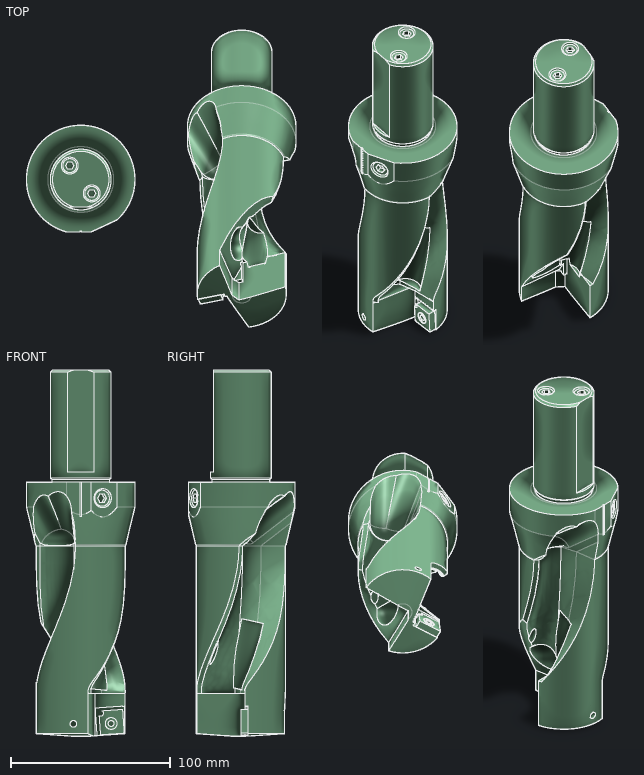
import cadquery as cq
import math


total_length = 229.3
shank_radius = 19.0
shank_chamfer = 1.4
shank_bottom = 161.7
neck_radius = 18.1
face_groove_radius = 20.6
face_groove_depth = 0.5
flange_diameter = 68.0
flange_radius = flange_diameter / 2
flange_top = 159.1
cone_top = 143.5
cone_bottom = 120.2
cone_bottom_radius = 28.5
body_radius = 28.0
body_top = 119.2
tip_flat_radius = 5.7
tip_rise = 1.5

shank_flat_distance = 17.2
shank_flat_bottom = 165.5
flange_across_flat = 67.0
flange_flat_distance = flange_across_flat - flange_radius
plug_flat_distance = 32.5
plug_flat_angle = 25
mark_width = 1.0
mark_depth = 0.7
mark_bottom = 137.5

flute_rim_wall = 3.5
flute_bend_wall = 2.8
flute_bend_y = -12.5
flute_root_wall = 4.1
flute_root_y = -1.1
flute_floor_end = 25.5
flute_floor_depth = 5.5
flute_reach = 32
flute_lip_slope = 0.9
flute_lip_rise = flute_lip_slope * (flute_reach - flute_floor_end)
flute_twist = -78
twist_length = 88.3
twist_power = 1.9
flute_sections = 14
inner_flute_start = 33.7
outer_flute_start = 26.8
runout_rise = 41.3
runout_directions = [(-0.1, -1.3, 1), (-0.6, -1.1, 1)]
elbow_radius = 11.0
elbow_lift = 1.8

notch_land = 2.5
outer_wall_rim = 4.0
outer_wall_root = 9.0
inner_wall = 5.5
inner_wall_corner = 2.8
inner_wall_top = 16
ramp_middle = (-11.0, 48.2)
ramp_end = (-28.0, 75.7)

ball_radius = 10.8
ball_center = (-4.8, 13.8, 32.5)

scoop_radius = 8.0
scoop_lower = (-9.2, 3.0, 29.8)
scoop_upper = (-10.0, -6.2, 72.2)

channel_radius = 2.3
channel_end = (-11.0, 17.5, 39)
outlet_radius = 2.0
outlet_x = -4.5
outlet_z = 7.8
outlet_depth = 9.2

insert_size = 15.0
insert_corner_x = 12.4
insert_corner_z = 1.0
insert_tilt = 4
insert_face = 0
insert_thickness = 4.5
seat_clearance = 2.0
relief_radius = 1.8
relief_x = 12.4
relief_z = 14.5
screw_x = 19.0
screw_z = 8.0
screw_radius = 3.7
screw_length = 9.2
screw_recess = 0.5
screw_socket_radius = 1.8
screw_socket_depth = 2.3

shank_plug_x = 6.9
shank_plug_y = 8.7
shank_plug_radius = 4.4
flange_plug_radius = 5.0
flange_plug_z = 149
plug_length = 9.2
plug_rim = 1.0
plug_rim_angle = 45
plug_socket_depth = 3.5
plug_socket_ratio = 0.6


def cylinder_between(start, end, radius):
    """Round bar from one point to another."""
    axis = cq.Vector(*end) - cq.Vector(*start)
    return cq.Workplane(cq.Solid.makeCylinder(radius, axis.Length, cq.Vector(*start), axis))


def half_turn(shape):
    return shape.rotate((0, 0, 0), (0, 0, 1), 180)


def turned_blank():
    outline = (
        cq.Workplane("XZ")
        .polyline([
            (0, 0),
            (tip_flat_radius, 0),
            (body_radius, tip_rise),
            (body_radius, body_top),
            (cone_bottom_radius, cone_bottom),
            (flange_radius, cone_top),
            (flange_radius, flange_top),
            (face_groove_radius, flange_top),
            (neck_radius + face_groove_depth, flange_top - face_groove_depth),
            (neck_radius, flange_top - face_groove_depth),
            (neck_radius, shank_bottom - (shank_radius - neck_radius)),
            (shank_radius, shank_bottom),
            (shank_radius, total_length - shank_chamfer),
            (shank_radius - shank_chamfer, total_length),
            (0, total_length),
        ])
        .close()
    )
    return outline.revolve(360, (0, 0, 0), (0, 1, 0))


def flat_cutter(distance, bottom, top, angle=0):
    """Block that leaves a flat at the given distance from the axis, turned from -Y toward +X."""
    size = 2 * flange_radius
    block = cq.Workplane("XY").box(size, size, top - bottom, centered=(True, False, False))
    return block.translate((0, -distance - size, bottom)).rotate((0, 0, 0), (0, 0, 1), angle)


def mark_cutter():
    return (
        cq.Workplane("XY")
        .workplane(offset=mark_bottom)
        .center(0, -flange_flat_distance)
        .rect(mark_width, 2 * mark_depth)
        .extrude(flange_top - mark_bottom)
    )


def flute_section(z):
    """Closed flute outline at height z, turned by the twist of the flute there."""
    floor_middle = (-(flute_root_wall + flute_floor_end) / 2, flute_root_y + flute_floor_depth)
    turn = flute_twist * min(1, (body_top - z) / twist_length) ** twist_power
    outline = (
        cq.Workplane("XY")
        .moveTo(-flute_rim_wall, -flute_reach)
        .lineTo(-flute_bend_wall, flute_bend_y)
        .lineTo(-flute_root_wall, flute_root_y)
        .threePointArc(floor_middle, (-flute_floor_end, flute_root_y))
        .lineTo(-flute_reach, flute_root_y + flute_lip_rise)
        .lineTo(-flute_reach, -flute_reach)
        .close()
    )
    return outline.val().rotate(cq.Vector(), cq.Vector(0, 0, 1), turn).translate(cq.Vector(0, 0, z))


def twisted_flute(start):
    step = (body_top - start) / flute_sections
    sections = [flute_section(start + i * step) for i in range(flute_sections + 1)]
    return cq.Workplane(cq.Solid.makeLoft(sections))


def flute_runouts():
    """Elbow at the top of a flute and the straight channels that leave it through the flange."""
    section = flute_section(body_top)
    center = (
        -(flute_root_wall + flute_floor_end) / 2,
        flute_root_y + flute_floor_depth - elbow_radius,
        body_top + elbow_lift,
    )
    cutters = [cq.Workplane("XY").sphere(elbow_radius).translate(center)]
    first_path = cq.Vector(*runout_directions[0]) * runout_rise
    cutters.append(cq.Workplane(cq.Solid.extrudeLinear(section, [], first_path)))
    for direction in runout_directions:
        end = cq.Vector(*center) + cq.Vector(*direction) * runout_rise
        cutters.append(cylinder_between(center, end.toTuple(), elbow_radius))
    return cutters


def scoop():
    return cylinder_between(scoop_lower, scoop_upper, scoop_radius)


def flute_ball():
    return cq.Workplane("XY").sphere(ball_radius).translate(ball_center)


def outer_notch():
    return (
        cq.Workplane("XY")
        .polyline([
            (outer_wall_root, notch_land),
            (flute_reach, notch_land),
            (flute_reach, -flute_reach),
            (outer_wall_rim, -flute_reach),
        ])
        .close()
        .extrude(outer_flute_start)
    )


def inner_notch():
    """Straight notch for the central cutting edge, with a curved run-out above its wall."""
    straight = (
        cq.Workplane("XY")
        .polyline([
            (inner_wall - inner_wall_corner, -notch_land),
            (-flute_reach, -notch_land),
            (-flute_reach, flute_reach),
            (inner_wall, flute_reach),
            (inner_wall, inner_wall_corner),
        ])
        .close()
        .extrude(inner_wall_top)
    )
    ramp = (
        cq.Workplane("XZ")
        .moveTo(inner_wall, inner_wall_top)
        .threePointArc(ramp_middle, ramp_end)
        .lineTo(ramp_end[0], inner_wall_top)
        .close()
        .extrude(-flute_reach)
    )
    land = (
        cq.Workplane("XY")
        .box(flute_reach, 2 * notch_land, inner_flute_start, centered=(False, True, False))
        .translate((-flute_reach, 0, 0))
    )
    return straight.union(ramp).union(land)


def coolant_channel():
    start = (-shank_plug_x, shank_plug_y, total_length - plug_length)
    return cylinder_between(start, channel_end, channel_radius)


def outlet_cutter():
    start = (outlet_x, -body_radius, outlet_z)
    return cylinder_between(start, (outlet_x, outlet_depth - body_radius, outlet_z), outlet_radius)


def tilted_block(gap):
    """Square of the insert, grown by a gap on the two sides that face the housing."""
    size = insert_size + gap
    block = cq.Workplane("XY").box(size, insert_thickness, size, centered=False)
    block = block.translate((-gap, insert_face, 0)).rotate((0, 0, 0), (0, 1, 0), -insert_tilt)
    return block.translate((insert_corner_x, 0, insert_corner_z))


def insert_bar(x, z, radius, length):
    """Round bar that runs inward from the insert face."""
    return cylinder_between((x, insert_face, z), (x, insert_face + length, z), radius)


def relief_cutter():
    return insert_bar(relief_x, relief_z, relief_radius, insert_thickness)


def make_insert():
    return tilted_block(0).cut(screw_blank()).cut(relief_cutter())


def seat_cutter():
    """Recess for the insert, open at the end face and at the rim of the body."""
    seat = tilted_block(seat_clearance)
    for slide_x, slide_z in [(seat_clearance, 0), (0, -seat_clearance), (seat_clearance, -seat_clearance)]:
        seat = seat.union(tilted_block(seat_clearance).translate((slide_x, 0, slide_z)))
    return seat


def screw_blank():
    return insert_bar(screw_x, screw_z, screw_radius, screw_length)


def make_screw():
    recess = insert_bar(screw_x, screw_z, screw_radius, screw_recess)
    socket = insert_bar(screw_x, screw_z, screw_socket_radius, screw_socket_depth)
    return screw_blank().cut(recess).cut(socket)


def plug_planes():
    """Plane of each plug's outer face with the plug radius."""
    angle = math.radians(plug_flat_angle)
    outward = (math.sin(angle), -math.cos(angle), 0)
    flange_origin = (plug_flat_distance * outward[0], plug_flat_distance * outward[1], flange_plug_z)
    across = (math.cos(angle), math.sin(angle), 0)
    planes = [(cq.Plane(flange_origin, across, outward), flange_plug_radius)]
    for side in (-1, 1):
        origin = (side * shank_plug_x, -side * shank_plug_y, total_length)
        planes.append((cq.Plane(origin, (1, 0, 0), (0, 0, 1)), shank_plug_radius))
    return planes


def plug_hole(plane, radius):
    bore = cq.Workplane(plane).circle(radius).extrude(-plug_length)
    rim = cq.Workplane(plane).circle(radius + plug_rim).extrude(-plug_rim, taper=plug_rim_angle)
    return bore.union(rim)


def make_plug(plane, radius):
    plug = cq.Workplane(plane).workplane(offset=-plug_rim).circle(radius).extrude(plug_rim - plug_length)
    socket = cq.Workplane(plane).polygon(6, 2 * plug_socket_ratio * radius)
    socket = socket.extrude(-plug_rim - plug_socket_depth)
    return plug.cut(socket)


def make_housing():
    housing = turned_blank()
    housing = housing.cut(flat_cutter(shank_flat_distance, shank_flat_bottom, total_length))
    housing = housing.cut(flat_cutter(flange_flat_distance, body_top, flange_top))
    housing = housing.cut(flat_cutter(plug_flat_distance, body_top, flange_top, plug_flat_angle))
    housing = housing.cut(mark_cutter())
    housing = housing.cut(twisted_flute(inner_flute_start)).cut(flute_ball())
    housing = housing.cut(half_turn(twisted_flute(outer_flute_start)))
    for cutter in [*flute_runouts(), scoop(), coolant_channel()]:
        housing = housing.cut(cutter).cut(half_turn(cutter))
    housing = housing.cut(inner_notch()).cut(outer_notch())
    housing = housing.cut(outlet_cutter())
    housing = housing.cut(seat_cutter()).cut(relief_cutter()).cut(screw_blank())
    for plane, radius in plug_planes():
        housing = housing.cut(plug_hole(plane, radius))
    return housing


housing = make_housing()
insert = make_insert()
screw = make_screw()
plugs = [make_plug(plane, radius).val() for plane, radius in plug_planes()]

result = cq.Compound.makeCompound([housing.val(), insert.val(), screw.val(), *plugs])